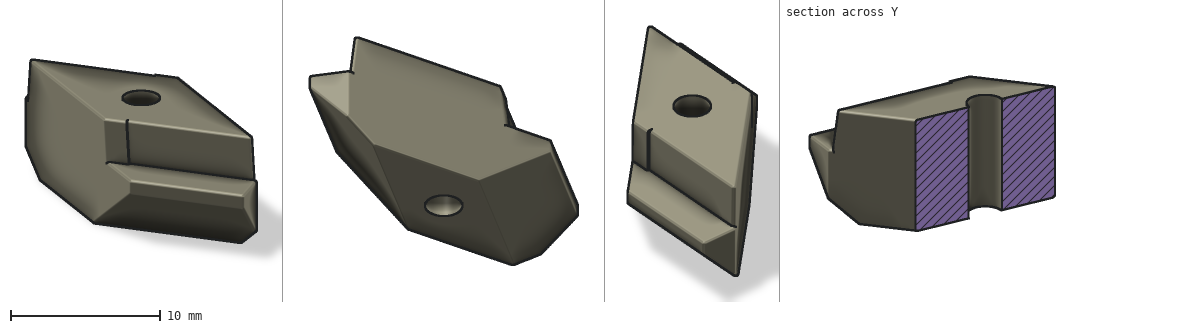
import cadquery as cq
import math

length = 19.3
width = 14.0
height = 8.3

flange_z = 5.33
rim_bottom_z = 4.32
bottom_width = 5.9

neck_top_width = 8.38
draft = math.tan(math.radians(5))
pad_thickness = 0.17
step_top_x = 0.37

end_length = 8.05
bore_diameter = 2.5
edge_radius = 0.2
neck_overlap = 0.23
neck_root_z = flange_z - neck_overlap
root_flare = (height - neck_root_z) * draft

side_y = length - end_length - width / 2


def extrude_section(points, start_x, end_x):
    """Extrude a closed YZ outline along X."""
    plane = cq.Workplane("YZ", origin=(start_x, 0, 0))
    return plane.polyline(points).close().extrude(end_x - start_x)


def make_plan():
    """Slanted plan with its two acute corners cut square to X."""
    x = length / 2
    y = width / 2
    corner_x = end_length - x
    points = [(-x, y), (corner_x, y), (x, -side_y), (x, -y), (-corner_x, -y), (-x, side_y)]
    return cq.Workplane("XY").polyline(points).close().extrude(height)


def make_body(plan):
    """Dovetail-shaped body below the neck, rounded on every edge."""
    half_bottom = bottom_width / 2
    section = [
        (-half_bottom, 0),
        (half_bottom, 0),
        (width / 2, rim_bottom_z),
        (width / 2, flange_z),
        (-width / 2, flange_z),
        (-width / 2, rim_bottom_z),
    ]
    body = extrude_section(section, -length / 2, length / 2)
    return body.intersect(plan).edges().fillet(edge_radius)


def make_rounded_neck(top_width):
    """Drafted neck between the slanted sides, rounded on its top and corner edges."""
    half_top = top_width / 2
    half_root = half_top + root_flare
    slant_offset = length / 2 - side_y
    neck = (
        cq.Workplane("XY", origin=(0, 0, neck_root_z))
        .polyline([
            (-slant_offset - half_root, half_root),
            (slant_offset - half_root, half_root),
            (slant_offset + half_root, -half_root),
            (-slant_offset + half_root, -half_root),
        ])
        .close()
        .extrude(height - neck_root_z)
    )
    section = [
        (-half_top, height),
        (half_top, height),
        (half_root, neck_root_z),
        (-half_root, neck_root_z),
    ]
    neck = neck.intersect(extrude_section(section, -length, length))
    return neck.edges("not <Z").fillet(edge_radius)


def make_pad(wide_neck):
    """Raised end of the front neck wall, closed by a drafted step."""
    section = [
        (-length, height),
        (step_top_x, height),
        (step_top_x + root_flare, neck_root_z),
        (-length, neck_root_z),
    ]
    region = cq.Workplane("XZ").polyline(section).close().extrude(width / 2)
    return wide_neck.intersect(region)


def make_neck():
    """Neck with raised pads at opposite ends of its two long walls."""
    pad = make_pad(make_rounded_neck(neck_top_width))
    narrow_neck = make_rounded_neck(neck_top_width - 2 * pad_thickness)
    return narrow_neck.union(pad).union(pad.rotate((0, 0, 0), (0, 0, 1), 180))


plan = make_plan()
bore = cq.Workplane("XY").circle(bore_diameter / 2).extrude(height)
result = make_body(plan).union(make_neck()).cut(bore)